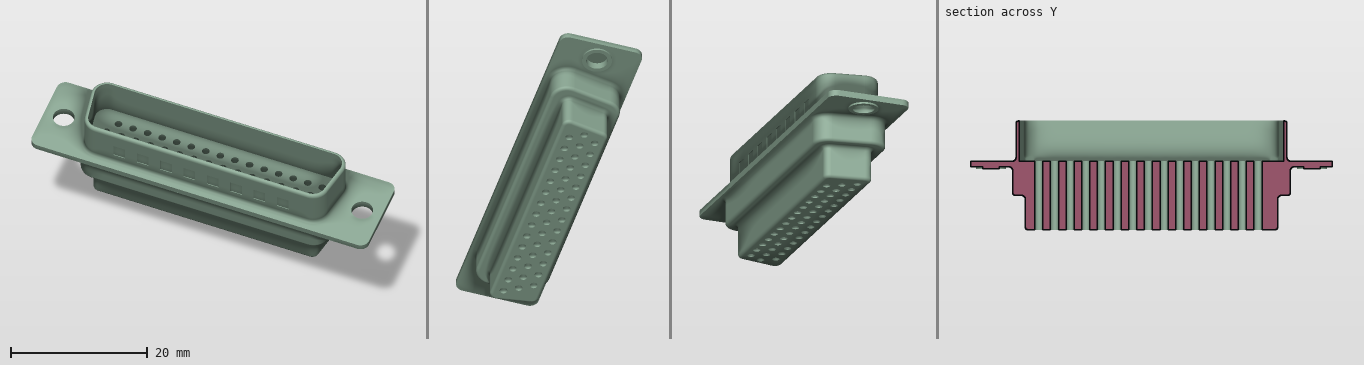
import cadquery as cq
import math

PLATE_LENGTH = 53.05
PLATE_WIDTH = 12.55
PLATE_THICKNESS = 0.9
PLATE_CORNER_RADIUS = 1.3

MOUNT_HOLE_DIAMETER = 3.2
MOUNT_HOLE_X = 23.5
PAD_DIAMETER = 4.4
PAD_HEIGHT = 0.25

SIDE_LEAN = math.radians(10)
EDGE_RADIUS = 0.5

SHELL_HALF_LENGTH = 19.9
SHELL_BACK_Y = 4.45
SHELL_FRONT_Y = -4.8
SHELL_CORNER_RADIUS = 2.4
SHELL_HEIGHT = 5.9
SHELL_WALL = 0.55

BODY_HALF_LENGTH = 20.55
BODY_BACK_Y = 5.4
BODY_FRONT_Y = -BODY_BACK_Y
BODY_CORNER_RADIUS = 2.5
BODY_HEIGHT = 4.2

BASE_HALF_LENGTH = 18.6
BASE_BACK_Y = 3.5
BASE_FRONT_Y = -3.65
BASE_CORNER_RADIUS = 1.05
BASE_HEIGHT = 5.05

CONTACT_DIAMETER = 1.1
CONTACT_ROW_SPACING = 1.95
CONTACT_FIRST_X = -15.6
CONTACT_ROW_LENGTH = 32.1
CONTACT_COUNTS = (14, 15, 15)

RECESS_COUNT = 8
RECESS_ROW_LENGTH = 25.75
RECESS_WIDTH = 1.85
RECESS_HEIGHT = 2.05
RECESS_DEPTH = 0.1
RECESS_DROP = 3.55

plate_top = PLATE_THICKNESS
shell_top = plate_top + SHELL_HEIGHT
body_bottom = -BODY_HEIGHT
base_bottom = body_bottom - BASE_HEIGHT
contact_pitch = CONTACT_ROW_LENGTH / (max(CONTACT_COUNTS) - 1)
recess_pitch = RECESS_ROW_LENGTH / (RECESS_COUNT - 1)
shell_middle_y = (SHELL_BACK_Y + SHELL_FRONT_Y) / 2


def d_prism(half_length, back_y, front_y, corner_radius, bottom, top):
    """Rounded D-shaped prism; half_length is measured to the outermost point of the back corners."""
    arc_center_x = half_length - corner_radius
    corner_reach = corner_radius * math.tan(math.pi / 4 + SIDE_LEAN / 2)
    back_x = arc_center_x + corner_reach
    front_x = back_x - (back_y - front_y) * math.tan(SIDE_LEAN)
    outline = [(-back_x, back_y), (back_x, back_y), (front_x, front_y), (-front_x, front_y)]
    return (
        cq.Workplane("XY")
        .workplane(offset=bottom)
        .polyline(outline)
        .close()
        .extrude(top - bottom)
        .edges("|Z")
        .fillet(corner_radius)
    )


def edges_at(solid, z, half_length):
    """Edges lying in the plane at height z and within half_length of the middle."""
    slack = 0.005
    return solid.edges(
        cq.selectors.BoxSelector(
            (-half_length - slack, -PLATE_WIDTH, z - slack),
            (half_length + slack, PLATE_WIDTH, z + slack),
            boundingbox=True,
        )
    )


plate = (
    cq.Workplane("XY")
    .rect(PLATE_LENGTH, PLATE_WIDTH)
    .extrude(PLATE_THICKNESS)
    .edges("|Z")
    .fillet(PLATE_CORNER_RADIUS)
)
shell = d_prism(
    SHELL_HALF_LENGTH, SHELL_BACK_Y, SHELL_FRONT_Y, SHELL_CORNER_RADIUS, plate_top, shell_top
)
body = d_prism(BODY_HALF_LENGTH, BODY_BACK_Y, BODY_FRONT_Y, BODY_CORNER_RADIUS, body_bottom, 0)
base = d_prism(
    BASE_HALF_LENGTH, BASE_BACK_Y, BASE_FRONT_Y, BASE_CORNER_RADIUS, base_bottom, body_bottom
)
connector = plate.union(shell).union(body).union(base)

rounded_levels = (
    (shell_top, SHELL_HALF_LENGTH),
    (plate_top, SHELL_HALF_LENGTH),
    (0, BODY_HALF_LENGTH),
    (body_bottom, BODY_HALF_LENGTH),
    (base_bottom, BASE_HALF_LENGTH),
)
for level, half_length in rounded_levels:
    connector = edges_at(connector, level, half_length).fillet(EDGE_RADIUS)

cavity = d_prism(
    SHELL_HALF_LENGTH - SHELL_WALL,
    SHELL_BACK_Y - SHELL_WALL,
    SHELL_FRONT_Y + SHELL_WALL,
    SHELL_CORNER_RADIUS - SHELL_WALL,
    plate_top,
    shell_top,
)
connector = connector.cut(cavity)

mount_points = [(-MOUNT_HOLE_X, 0), (MOUNT_HOLE_X, 0)]
pads = (
    cq.Workplane("XY").pushPoints(mount_points).circle(PAD_DIAMETER / 2).extrude(-PAD_HEIGHT)
)
mount_holes = (
    cq.Workplane("XY")
    .workplane(offset=-PAD_HEIGHT)
    .pushPoints(mount_points)
    .circle(MOUNT_HOLE_DIAMETER / 2)
    .extrude(PAD_HEIGHT + PLATE_THICKNESS)
)
connector = connector.union(pads).cut(mount_holes)

contact_points = []
for row, count in enumerate(CONTACT_COUNTS):
    row_y = shell_middle_y + (row - 1) * CONTACT_ROW_SPACING
    row_start = CONTACT_FIRST_X - (contact_pitch / 2 if row == 1 else 0)
    for column in range(count):
        contact_points.append((row_start + column * contact_pitch, row_y))
contact_holes = (
    cq.Workplane("XY")
    .workplane(offset=base_bottom)
    .pushPoints(contact_points)
    .circle(CONTACT_DIAMETER / 2)
    .extrude(plate_top - base_bottom)
)
connector = connector.cut(contact_holes)

recesses = (
    cq.Workplane("XZ", origin=(0, SHELL_FRONT_Y, shell_top - RECESS_DROP))
    .rarray(recess_pitch, 0.55, RECESS_COUNT, 1)
    .rect(RECESS_WIDTH, RECESS_HEIGHT)
    .extrude(-RECESS_DEPTH)
)
result = connector.cut(recesses)